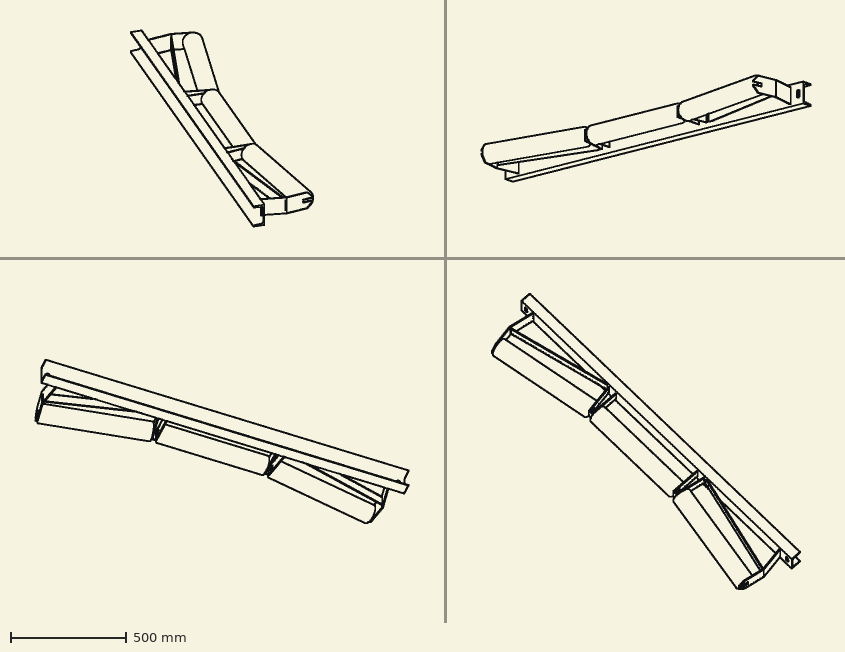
import cadquery as cq
import math

beam_length = 1700.0
beam_height = 100.0
beam_depth = 50.0
web_thickness = 6.0
flange_thickness = 8.5
flange_slope = 0.08
root_radius = 8.5
toe_radius = 3.5

mount_slot_width = 16.0
mount_slot_height = 34.0
mount_slot_inset = 29.0

roller_diameter = 88.5
roller_length = 501.0
roller_edge_radius = 5.0
axle_depth = 20.0
axle_width = 14.0
trough_angle = 10.0

centre_axis_y = 167.5
wing_centre_x = 529.5
overall_depth = 301.02

plate_thickness = 5.0
end_plate_width = 78.0
middle_plate_width = 50.0
plate_gap = 2.5
tip_beyond_axis = 36.0
tip_chamfer = 27.0
bend_y = 169.0
bridge_top_y = 192.0

brace_width = 50.0
brace_thickness = 5.0
brace_foot_x = 311.0

tilt = math.radians(trough_angle)
cos_tilt = math.cos(tilt)
sin_tilt = math.sin(tilt)
tan_tilt = math.tan(tilt)
roller_radius = roller_diameter / 2
half_roller = roller_length / 2
axle_half_length = half_roller + plate_gap + plate_thickness
wing_top_rise = (
    (half_roller - roller_edge_radius) * sin_tilt
    + (roller_radius - roller_edge_radius) * cos_tilt
    + roller_edge_radius
)
wing_centre_y = overall_depth - wing_top_rise


def mirrored(body):
    """The same body on the other side of the YZ plane."""
    return body.mirror("YZ")


def in_wing_frame(body):
    """Moves a body built about the origin along X to the left, tilted roller's place."""
    return body.rotate((0, 0, 0), (0, 0, 1), -trough_angle).translate((-wing_centre_x, wing_centre_y, 0))


def wing_point(along, across):
    """XY place of a point given along and across the left wing roller's axis."""
    return (
        -wing_centre_x + along * cos_tilt + across * sin_tilt,
        wing_centre_y - along * sin_tilt + across * cos_tilt,
    )


def wing_across(along, y):
    """Distance across the wing axis at which the plane at `along` reaches height y."""
    return (y - wing_centre_y + along * sin_tilt) / cos_tilt


def make_beam():
    half_height = beam_height / 2
    inner_face_y = beam_depth - web_thickness
    mid_flange_y = beam_depth / 2
    toe_z = half_height - flange_thickness + flange_slope * mid_flange_y
    root_z = half_height - flange_thickness - flange_slope * (inner_face_y - mid_flange_y)
    beam = (
        cq.Workplane("YZ", origin=(-beam_length / 2, 0, 0))
        .polyline([
            (0, half_height),
            (beam_depth, half_height),
            (beam_depth, -half_height),
            (0, -half_height),
            (0, -toe_z),
            (inner_face_y, -root_z),
            (inner_face_y, root_z),
            (0, toe_z),
        ])
        .close()
        .extrude(beam_length)
    )

    root_points = [(0, inner_face_y, root_z), (0, inner_face_y, -root_z)]
    toe_points = [(0, 0, toe_z), (0, 0, -toe_z)]
    for points, radius in ((root_points, root_radius), (toe_points, toe_radius)):
        for point in points:
            beam = beam.edges(cq.selectors.NearestToPointSelector(point)).fillet(radius)
    slot_x = beam_length / 2 - mount_slot_inset
    slots = (
        cq.Workplane("XZ")
        .pushPoints([(-slot_x, 0), (slot_x, 0)])
        .slot2D(mount_slot_height, mount_slot_width, 90)
        .extrude(-beam_depth)
    )
    return beam.cut(slots)


def make_roller():
    tube = (
        cq.Workplane("YZ", origin=(-half_roller, 0, 0))
        .circle(roller_radius)
        .extrude(roller_length)
        .faces("<X or >X")
        .edges()
        .fillet(roller_edge_radius)
    )
    axle = (
        cq.Workplane("YZ", origin=(-axle_half_length, 0, 0))
        .rect(axle_depth, axle_width)
        .extrude(2 * axle_half_length)
    )
    return tube.union(axle)


def axle_cutter(end, reach):
    """Cutter for the axle at one roller end (-1 or 1), from under the axle up to `reach` above its axis."""
    below = axle_depth / 2
    return (
        cq.Workplane("XY")
        .box(2 * (plate_gap + plate_thickness), below + reach, axle_width)
        .translate((end * axle_half_length, (reach - below) / 2, 0))
    )


def make_end_bracket():
    inner = -half_roller - plate_gap
    outer = inner - plate_thickness
    inner_bend = wing_point(inner, wing_across(inner, bend_y))
    outer_bend = wing_point(outer, wing_across(outer, bend_y))
    foot_shift = (bend_y - beam_depth) * tan_tilt
    blank = (
        cq.Workplane("XY", origin=(0, 0, -end_plate_width / 2))
        .polyline([
            wing_point(outer, tip_beyond_axis),
            wing_point(inner, tip_beyond_axis),
            inner_bend,
            (inner_bend[0] + foot_shift, beam_depth),
            (outer_bend[0] + foot_shift, beam_depth),
            outer_bend,
        ])
        .close()
        .extrude(end_plate_width)
    )
    tip_corners = blank.faces(">Y").edges("<Z or >Z")
    bracket = tip_corners.chamfer(tip_chamfer)
    return bracket.cut(in_wing_frame(axle_cutter(-1, roller_radius)))


def make_middle_bracket():
    upright_inner_x = -half_roller - plate_gap
    upright_outer_x = upright_inner_x - plate_thickness
    near = half_roller + plate_gap
    far = near + plate_thickness
    bridge_under_y = bridge_top_y - plate_thickness
    bracket = (
        cq.Workplane("XY", origin=(0, 0, -middle_plate_width / 2))
        .polyline([
            (upright_inner_x, beam_depth),
            (upright_inner_x, bridge_top_y),
            wing_point(near, wing_across(near, bridge_top_y)),
            wing_point(near, wing_across(near, beam_depth)),
            wing_point(far, wing_across(far, beam_depth)),
            wing_point(far, wing_across(far, bridge_under_y)),
            (upright_outer_x, bridge_under_y),
            (upright_outer_x, beam_depth),
        ])
        .close()
        .extrude(middle_plate_width)
    )
    closed_hole_reach = axle_depth / 2
    wing_hole = in_wing_frame(axle_cutter(1, closed_hole_reach))
    centre_hole = axle_cutter(-1, closed_hole_reach).translate((0, centre_axis_y, 0))
    return bracket.cut(wing_hole).cut(centre_hole)


def make_brace():
    inner = -half_roller - plate_gap
    bend_x = wing_point(inner, wing_across(inner, bend_y))[0]
    drop = bend_y - beam_depth
    slope = math.atan2(drop, -brace_foot_x - bend_x)
    rise = brace_thickness / math.cos(slope)
    under_x = bend_x + rise * tan_tilt
    brace_run = rise / math.tan(slope)
    return (
        cq.Workplane("XY", origin=(0, 0, -brace_width / 2))
        .polyline([
            (bend_x, bend_y),
            (-brace_foot_x, beam_depth),
            (-brace_foot_x - brace_run, beam_depth),
            (under_x, bend_y - rise),
        ])
        .close()
        .extrude(brace_width)
    )


beam = make_beam()
centre_roller = make_roller().translate((0, centre_axis_y, 0))
wing_roller = in_wing_frame(make_roller())
end_bracket = make_end_bracket()
middle_bracket = make_middle_bracket()
brace = make_brace()

bodies = [beam.val(), centre_roller.val()]
for body in (wing_roller, end_bracket, middle_bracket, brace):
    bodies.append(body.val())
    bodies.append(mirrored(body).val())

result = cq.Compound.makeCompound(bodies)